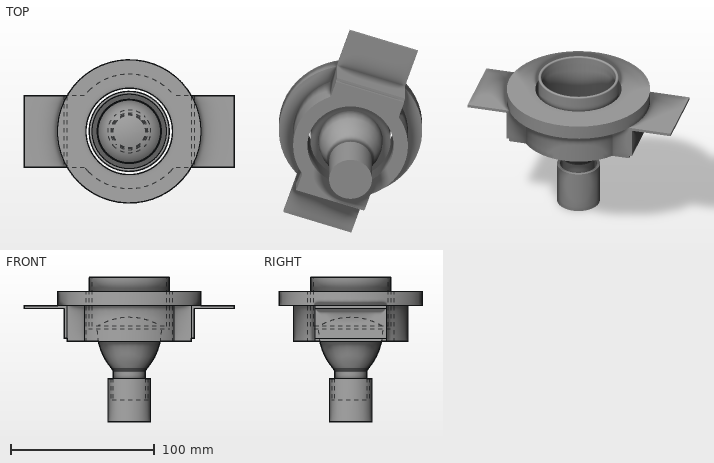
import cadquery as cq
import math


FLANGE_RADIUS = 50.0
FLANGE_HEIGHT = 10.0
BORE_RADIUS = 30.0
HOUSING_RADIUS = 40.0
HOUSING_HEIGHT = 24.9
PAD_WIDTH = 50.0
PAD_REACH = math.sqrt(FLANGE_RADIUS**2 - (PAD_WIDTH / 2) ** 2)

BRACKET_TIP = 73.3
BRACKET_THICKNESS = 2.0
BRACKET_HEIGHT = 22.9

TUBE_RADIUS = 28.0
TUBE_WALL = 2.0
TUBE_TOP = FLANGE_HEIGHT + 10.0
TUBE_INNER_DEPTH = 34.0
TUBE_FLOOR = 2.0
TUBE_LIP_FILLET = 0.9
TUBE_FLOOR_TOP = TUBE_TOP - TUBE_INNER_DEPTH
TUBE_BOTTOM = TUBE_FLOOR_TOP - TUBE_FLOOR

REFLECTOR_RADIUS = 22.5
REFLECTOR_HEIGHT = 30.0
REFLECTOR_FOOT_RADIUS = 12.0
REFLECTOR_MID_RADIUS = 19.8
REFLECTOR_MID_DEPTH = 17.2
REFLECTOR_BOTTOM = TUBE_FLOOR_TOP - REFLECTOR_HEIGHT
LENS_RADIUS = 21.8
LENS_HEIGHT = 6.0

NECK_RADIUS = 11.3
NECK_TAPER_HEIGHT = 1.3
SOCKET_RADIUS = 15.0
SOCKET_BORE_RADIUS = 12.9
SOCKET_HEIGHT = 30.0
SOCKET_BORE_DEPTH = 15.0
OVERALL_HEIGHT = 100.9
SOCKET_BOTTOM = TUBE_TOP - OVERALL_HEIGHT
SOCKET_FLOOR = SOCKET_BOTTOM + SOCKET_HEIGHT - SOCKET_BORE_DEPTH


def disc(radius, bottom, top):
    """Cylinder about the Z axis between two levels."""
    return cq.Workplane("XY").workplane(offset=bottom).circle(radius).extrude(top - bottom)


def make_flange():
    bore = disc(BORE_RADIUS, 0, FLANGE_HEIGHT)
    return disc(FLANGE_RADIUS, 0, FLANGE_HEIGHT).cut(bore)


def make_housing():
    """Round housing with a flat pad standing out on its -X and +X sides."""
    pads = (
        cq.Workplane("XY")
        .workplane(offset=-HOUSING_HEIGHT)
        .rect(2 * PAD_REACH, PAD_WIDTH)
        .extrude(HOUSING_HEIGHT)
    )
    bore = disc(BORE_RADIUS, -HOUSING_HEIGHT, 0)
    return disc(HOUSING_RADIUS, -HOUSING_HEIGHT, 0).union(pads).cut(bore)


def make_bracket(side):
    """L-shaped bracket: one leg down the pad, one leg outward; side is -1 or +1 along X."""
    inner = side * PAD_REACH
    leg_face = side * (PAD_REACH + BRACKET_THICKNESS)
    tip = side * BRACKET_TIP
    outline = [
        (inner, 0),
        (tip, 0),
        (tip, -BRACKET_THICKNESS),
        (leg_face, -BRACKET_THICKNESS),
        (leg_face, -BRACKET_HEIGHT),
        (inner, -BRACKET_HEIGHT),
    ]
    return cq.Workplane("XZ").polyline(outline).close().extrude(PAD_WIDTH / 2, both=True)


def make_tube():
    """Tube with a rounded lip and a floor that is pierced for the reflector."""
    cavity = disc(TUBE_RADIUS - TUBE_WALL, TUBE_FLOOR_TOP, TUBE_TOP)
    floor_hole = disc(REFLECTOR_RADIUS, TUBE_BOTTOM, TUBE_FLOOR_TOP)
    tube = disc(TUBE_RADIUS, TUBE_BOTTOM, TUBE_TOP).cut(cavity)
    return tube.faces(">Z").edges().fillet(TUBE_LIP_FILLET).cut(floor_hole)


def make_reflector():
    """Bowl narrowing downward from a straight rim that fills the hole in the tube floor."""
    return (
        cq.Workplane("XZ")
        .moveTo(0, REFLECTOR_BOTTOM)
        .lineTo(REFLECTOR_FOOT_RADIUS, REFLECTOR_BOTTOM)
        .threePointArc(
            (REFLECTOR_MID_RADIUS, TUBE_FLOOR_TOP - REFLECTOR_MID_DEPTH),
            (REFLECTOR_RADIUS, TUBE_BOTTOM),
        )
        .lineTo(REFLECTOR_RADIUS, TUBE_FLOOR_TOP)
        .lineTo(0, TUBE_FLOOR_TOP)
        .close()
        .revolve(360, (0, 0), (0, 1))
    )


def make_lens():
    """Shallow spherical cap on top of the reflector."""
    sphere_radius = (LENS_RADIUS**2 + LENS_HEIGHT**2) / (2 * LENS_HEIGHT)
    apex = TUBE_FLOOR_TOP + LENS_HEIGHT
    sphere = cq.Workplane("XY").sphere(sphere_radius).translate((0, 0, apex - sphere_radius))
    return disc(LENS_RADIUS, TUBE_FLOOR_TOP, apex).intersect(sphere)


def make_neck():
    """Cylinder from the socket floor up to the reflector, flared at its top."""
    taper_bottom = REFLECTOR_BOTTOM - NECK_TAPER_HEIGHT
    outline = [
        (0, SOCKET_FLOOR),
        (NECK_RADIUS, SOCKET_FLOOR),
        (NECK_RADIUS, taper_bottom),
        (REFLECTOR_FOOT_RADIUS, REFLECTOR_BOTTOM),
        (0, REFLECTOR_BOTTOM),
    ]
    return cq.Workplane("XZ").polyline(outline).close().revolve(360, (0, 0), (0, 1))


def make_socket():
    top = SOCKET_BOTTOM + SOCKET_HEIGHT
    bore = disc(SOCKET_BORE_RADIUS, SOCKET_FLOOR, top)
    return disc(SOCKET_RADIUS, SOCKET_BOTTOM, top).cut(bore)


flange = make_flange()
housing = make_housing()
brackets = [make_bracket(side) for side in (-1, 1)]
tube = make_tube()
reflector = make_reflector()
lens = make_lens()
neck = make_neck()
socket = make_socket()

result = cq.Compound.makeCompound(
    [
        flange.val(),
        housing.val(),
        *[bracket.val() for bracket in brackets],
        tube.val(),
        reflector.val(),
        lens.val(),
        neck.val(),
        socket.val(),
    ]
)